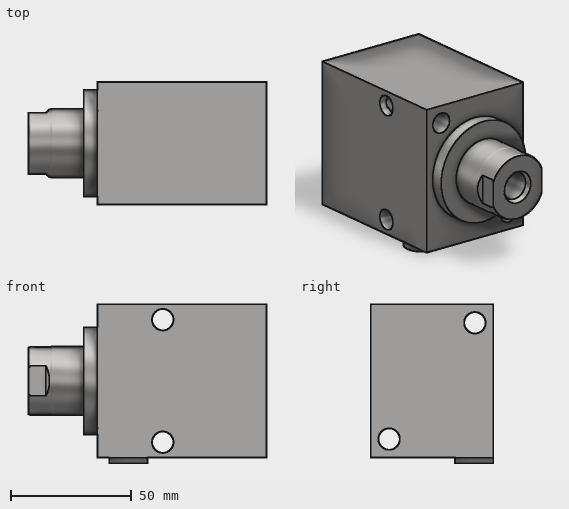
import cadquery as cq

total_length = 98.55

block_length = 70.0
block_width = 50.8
block_height = 63.5
block_start = total_length - block_length

collar_diameter = 44.4
collar_thickness = 5.7
collar_start = block_start - collar_thickness
rod_diameter = 28.6
nose_diameter = 28.3
nose_length = 9.3
nose_step_end = 9.9
tip_chamfer_length = 1.0
tip_chamfer_depth = 0.3

flat_spacing = 25.4
flat_length = 7.3

bore_diameter = 11.7
bore_mouth_diameter = 13.8
bore_mouth_depth = 0.6
bore_cone_diameter = 13.2
bore_cone_length = 1.6
bore_cone_end = bore_mouth_depth + bore_cone_length
bore_depth = 24.6

mount_diameter = 8.8
long_hole_y = 17.7
long_hole_z = 24.0
cross_hole_x = 55.6
cross_hole_edge = 6.4
cross_hole_z = block_height / 2 - cross_hole_edge

pad_diameter = 16.0
pad_height = 2.4
pad_x = 41.4
pad_y = (block_width - pad_diameter) / 2


def make_block():
    return (
        cq.Workplane("XY")
        .box(block_length, block_width, block_height)
        .translate((block_start + block_length / 2, 0, 0))
    )


def make_rod_and_collar():
    """Stepped rod and collar revolved about the X axis."""
    nose_radius = nose_diameter / 2
    rod_radius = rod_diameter / 2
    collar_radius = collar_diameter / 2
    profile = [
        (0, 0),
        (0, nose_radius - tip_chamfer_depth),
        (tip_chamfer_length, nose_radius),
        (nose_length, nose_radius),
        (nose_step_end, rod_radius),
        (collar_start, rod_radius),
        (collar_start, collar_radius),
        (block_start, collar_radius),
        (block_start, 0),
    ]
    return cq.Workplane("XY").polyline(profile).close().revolve(360, (0, 0), (1, 0))


def make_flat_cutter(side):
    """Cutter for one wrench flat, running out at 45 degrees; side is +1 or -1."""
    inner = flat_spacing / 2
    outer = rod_diameter / 2
    runout = outer - inner
    outline = [
        (0, side * inner),
        (flat_length, side * inner),
        (flat_length + runout, side * outer),
        (0, side * outer),
    ]
    return cq.Workplane("XY").polyline(outline).close().extrude(rod_diameter / 2, both=True)


def make_bore():
    """Blind bore with a slightly tapered mouth and a longer cone behind it."""
    profile = [
        (0, 0),
        (0, bore_mouth_diameter / 2),
        (bore_mouth_depth, bore_cone_diameter / 2),
        (bore_cone_end, bore_diameter / 2),
        (bore_depth, bore_diameter / 2),
        (bore_depth, 0),
    ]
    return cq.Workplane("XY").polyline(profile).close().revolve(360, (0, 0), (1, 0))


def make_long_holes():
    """Two diagonally opposite holes running the length of the block."""
    return (
        cq.Workplane("YZ", origin=(block_start, 0, 0))
        .pushPoints([(long_hole_y, long_hole_z), (-long_hole_y, -long_hole_z)])
        .circle(mount_diameter / 2)
        .extrude(block_length)
    )


def make_cross_holes():
    """Two holes through the block along Y."""
    return (
        cq.Workplane("XZ")
        .pushPoints([(cross_hole_x, cross_hole_z), (cross_hole_x, -cross_hole_z)])
        .circle(mount_diameter / 2)
        .extrude(block_width / 2, both=True)
    )


def make_pad():
    return (
        cq.Workplane("XY", origin=(pad_x, pad_y, -block_height / 2 - pad_height))
        .circle(pad_diameter / 2)
        .extrude(pad_height)
    )


result = make_block().union(make_rod_and_collar()).union(make_pad())
for flat_side in (1, -1):
    result = result.cut(make_flat_cutter(flat_side))
result = result.cut(make_bore()).cut(make_long_holes()).cut(make_cross_holes())